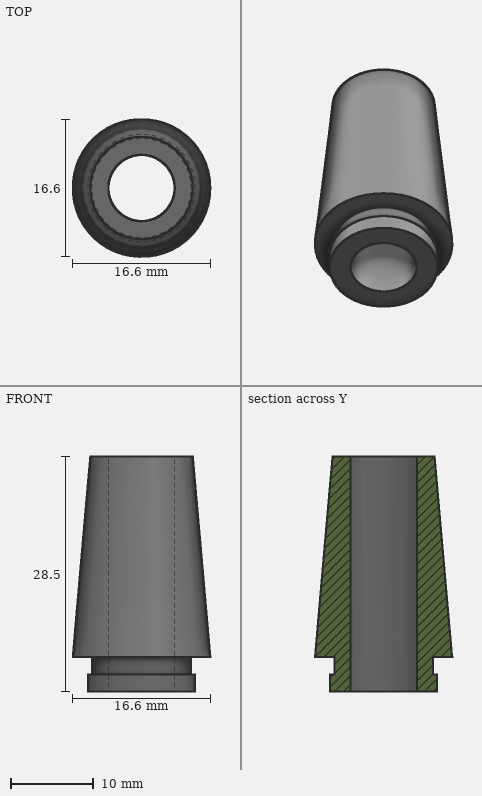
import cadquery as cq

overall_height = 28.5
collar_height = 2.1
body_base_z = 4.2

collar_diameter = 13.0
neck_diameter = 12.0
body_base_diameter = 16.65
body_top_diameter = 12.4
bore_diameter = 8.0


def tapered_sleeve():
    """Collar, neck groove and tapered body, revolved about Z."""
    outline = [
        (0, 0),
        (collar_diameter / 2, 0),
        (collar_diameter / 2, collar_height),
        (neck_diameter / 2, collar_height),
        (neck_diameter / 2, body_base_z),
        (body_base_diameter / 2, body_base_z),
        (body_top_diameter / 2, overall_height),
        (0, overall_height),
    ]
    return cq.Workplane("XZ").polyline(outline).close().revolve(360, (0, 0), (0, 1))


def through_bore():
    """Cylinder that runs the full height of the part."""
    return cq.Workplane("XY").circle(bore_diameter / 2).extrude(overall_height)


result = tapered_sleeve().cut(through_bore())